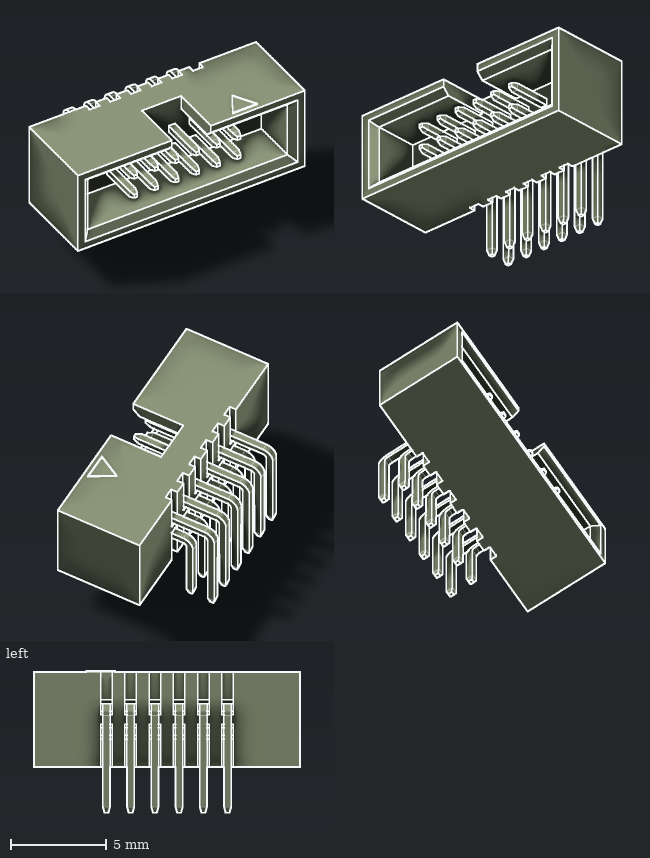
import cadquery as cq
import math

body_depth = 4.9
body_length = 13.97
body_height = 5.0

wall = 0.84
cavity_depth = 3.0
mouth_chamfer = 0.39
key_notch_width = 2.4

mark_side = 1.51
mark_length = mark_side * math.sqrt(3) / 2
mark_height = 0.05
mark_inset = 0.3
mark_y = 3.48

pin_count = 6
pitch = 1.27
pin_size = 0.39
outer_reach = 2.47
leg_drop = 2.4
bend_radius = 0.6
tip_length = 0.34
tip_size = 0.21
mating_end_inset = 0.4

groove_width = 0.6
groove_depth = 0.38
lead_in = 0.2

pin_ys = [(i - (pin_count - 1) / 2) * pitch for i in range(pin_count)]
mid_height = body_height / 2
upper_row = (mid_height + pitch / 2, -outer_reach)
lower_row = (mid_height - pitch / 2, pitch - outer_reach)


def side_profile(points, y, width):
    """Extrude an XZ outline to the given width, centred on y."""
    outline = cq.Workplane("XZ", origin=(0, y, 0)).polyline(points).close()
    return outline.extrude(width / 2, both=True)


def make_housing():
    housing = cq.Workplane("XY").box(
        body_depth, body_length, body_height, centered=(False, True, False)
    )
    mouth = housing.faces(">X").workplane(centerOption="CenterOfMass")
    housing = mouth.rect(body_length - 2 * wall, body_height - 2 * wall).cutBlind(-cavity_depth)
    housing = housing.faces(">X").edges("not(<Y or >Y or <Z or >Z)").chamfer(mouth_chamfer)
    notch = cq.Workplane("XY").box(
        cavity_depth, key_notch_width, mid_height, centered=(False, True, False)
    )
    return housing.cut(notch.translate((body_depth - cavity_depth, 0, mid_height)))


def make_mark():
    base_x = body_depth - mark_inset
    return (
        cq.Workplane("XY", origin=(0, mark_y, body_height))
        .polyline([
            (base_x - mark_length, 0),
            (base_x, -mark_side / 2),
            (base_x, mark_side / 2),
        ])
        .close()
        .extrude(mark_height)
    )


def make_upper_pocket(y):
    """Groove down from the top edge, ending in the lead-in opening of the upper pin."""
    pin_z = upper_row[0]
    pin_top = pin_z + pin_size / 2
    pin_bottom = pin_z - pin_size / 2
    funnel_start = groove_depth + lead_in
    slot = side_profile(
        [
            (0, body_height),
            (groove_depth, body_height),
            (groove_depth, pin_top + lead_in),
            (funnel_start, pin_top),
            (funnel_start, pin_bottom),
            (lead_in, pin_bottom),
            (0, pin_bottom - lead_in),
        ],
        y,
        groove_width,
    )
    funnel = (
        cq.Workplane("YZ", origin=(funnel_start, y, pin_z))
        .rect(groove_width, pin_size)
        .workplane(offset=(groove_width - pin_size) / 2)
        .rect(pin_size, pin_size)
        .loft(ruled=True)
    )
    return slot.union(funnel)


def make_tip(plane, center):
    """Tapered pin end, running along the normal of the plane."""
    return (
        cq.Workplane(plane, origin=center)
        .rect(pin_size, pin_size)
        .workplane(offset=tip_length)
        .rect(tip_size, tip_size)
        .loft(ruled=True)
    )


def make_pin(y, row):
    pin_z, leg_x = row
    top = pin_z + pin_size / 2
    mating_tip_x = body_depth - mating_end_inset - tip_length
    leg_tip_z = tip_length - leg_drop
    pin = side_profile(
        [
            (leg_x, leg_tip_z),
            (leg_x, top),
            (mating_tip_x, top),
            (mating_tip_x, top - pin_size),
            (leg_x + pin_size, top - pin_size),
            (leg_x + pin_size, leg_tip_z),
        ],
        y,
        pin_size,
    )
    outer_corner = cq.selectors.NearestToPointSelector((leg_x, y, top))
    inner_corner = cq.selectors.NearestToPointSelector((leg_x + pin_size, y, top - pin_size))
    pin = pin.edges("|Y").edges(outer_corner).fillet(bend_radius)
    pin = pin.edges("|Y").edges(inner_corner).fillet(bend_radius - pin_size)
    pin = pin.union(make_tip("YZ", (mating_tip_x, y, pin_z)))
    return pin.union(make_tip("YX", (leg_x + pin_size / 2, y, leg_tip_z)))


result = make_housing().union(make_mark())
for pin_y in pin_ys:
    upper_pocket = make_upper_pocket(pin_y)
    lower_pocket = upper_pocket.mirror("XY", (0, 0, mid_height))
    result = result.cut(upper_pocket).cut(lower_pocket)
for pin_y in pin_ys:
    for pin_row in (upper_row, lower_row):
        result = result.union(make_pin(pin_y, pin_row))